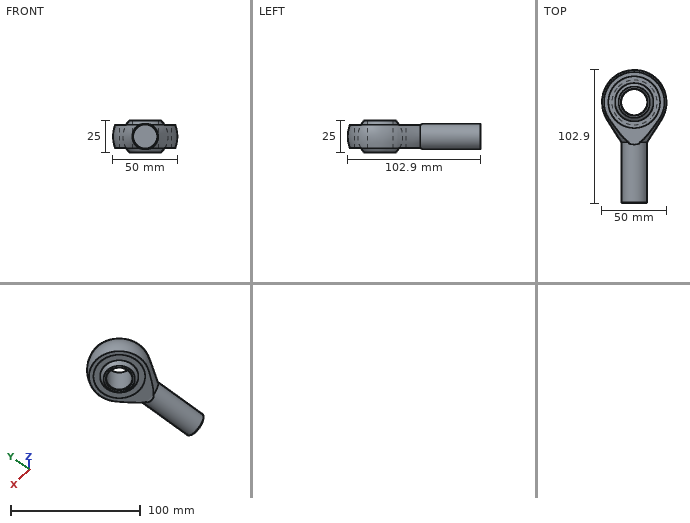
import cadquery as cq
import math

overall_length = 102.9
eye_radius = 25.0
eye_thickness = 18.1
race_radius = 20.0
ball_radius = 17.4
ball_width = 25.0
bore_radius = 10.0
bore_chamfer = 0.4
shank_radius = 10.0
shank_chamfer = 0.7
neck_end = -31.0
runout_radius = 2.0

shank_end = eye_radius - overall_length
half_thickness = eye_thickness / 2


def ball_sphere():
    return cq.Workplane("XY").sphere(ball_radius)


def neck_tangent_point():
    """Radius and Y where the neck's cone leaves the eye sphere tangentially."""
    neck_distance = math.hypot(shank_radius, neck_end)
    neck_angle = math.atan2(neck_end, shank_radius)
    tangent_angle = neck_angle + math.acos(eye_radius / neck_distance)
    return eye_radius * math.cos(tangent_angle), eye_radius * math.sin(tangent_angle)


def turned_blank():
    """Sphere, tangent cone and chamfered shank, turned about the Y axis."""
    return (
        cq.Workplane("XY")
        .moveTo(0, eye_radius)
        .threePointArc((eye_radius, 0), neck_tangent_point())
        .lineTo(shank_radius, neck_end)
        .lineTo(shank_radius, shank_end + shank_chamfer)
        .lineTo(shank_radius - shank_chamfer, shank_end)
        .lineTo(0, shank_end)
        .close()
        .revolve(360, (0, 0, 0), (0, 1, 0))
    )


def flat_face_cutter():
    """Stock above the upper flat face, ending in a concave arc tangent to the flat."""
    rise = shank_radius - half_thickness
    arc_angle = math.acos(1 - rise / runout_radius)
    arc_center_z = half_thickness + runout_radius

    def arc_point(angle):
        return (neck_end - runout_radius * math.sin(angle), arc_center_z - runout_radius * math.cos(angle))

    runout_end = arc_point(arc_angle)
    return (
        cq.Workplane("YZ")
        .moveTo(eye_radius, half_thickness)
        .lineTo(neck_end, half_thickness)
        .threePointArc(arc_point(arc_angle / 2), runout_end)
        .lineTo(runout_end[0], eye_radius)
        .lineTo(eye_radius, eye_radius)
        .close()
        .extrude(eye_radius, both=True)
    )


def make_rod_end():
    upper_cutter = flat_face_cutter()
    lower_cutter = upper_cutter.mirror("XY")
    race_seat = cq.Workplane("XY").circle(race_radius).extrude(half_thickness, both=True)
    return turned_blank().cut(upper_cutter).cut(lower_cutter).cut(race_seat)


def make_race():
    """Ring flush with the eye's flat faces, with a spherical seat for the ball."""
    return cq.Workplane("XY").circle(race_radius).extrude(half_thickness, both=True).cut(ball_sphere())


def make_ball():
    """Sphere truncated at both ends, with a chamfered through bore."""
    half_width = ball_width / 2
    width_limit = cq.Workplane("XY").circle(ball_radius).extrude(half_width, both=True)
    bore = (
        cq.Workplane("XZ")
        .moveTo(0, -half_width)
        .lineTo(bore_radius + bore_chamfer, -half_width)
        .lineTo(bore_radius, bore_chamfer - half_width)
        .lineTo(bore_radius, half_width - bore_chamfer)
        .lineTo(bore_radius + bore_chamfer, half_width)
        .lineTo(0, half_width)
        .close()
        .revolve(360, (0, 0, 0), (0, 1, 0))
    )
    return ball_sphere().intersect(width_limit).cut(bore)


rod_end = make_rod_end()
race = make_race()
ball = make_ball()

result = cq.Compound.makeCompound([body.solids().val() for body in (rod_end, race, ball)])